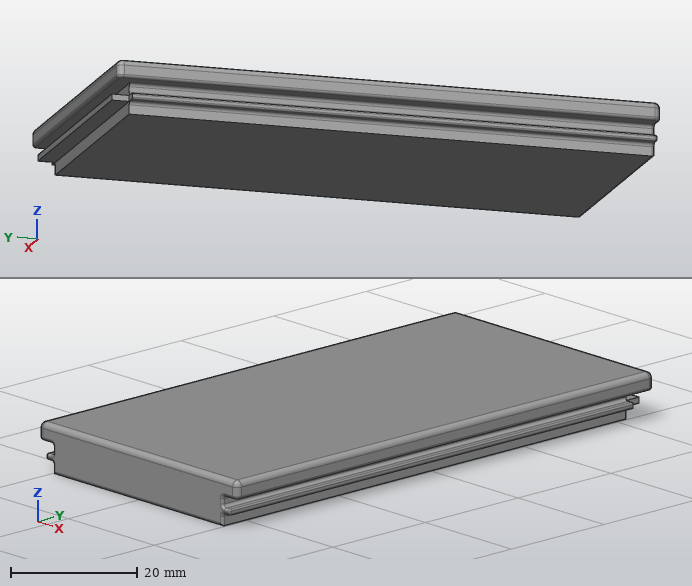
import cadquery as cq

plate_width = 46.2
plate_length = 90.0
plate_thickness = 3.0
plate_round = 1.0

total_height = 8.0
body_width = 39.3
rear_setback = 2.9

tongue_thickness = 1.0
tongue_drop = 4.95
side_tongue_reach = 1.7

front_round = 0.45
root_round = 0.5
tip_round = 0.3

front = -plate_length / 2
body_length = plate_length - rear_setback
body_rear = front + body_length
body_bottom = -total_height
tongue_top = -tongue_drop
tongue_bottom = tongue_top - tongue_thickness
overlap = 0.9
edge_search = 0.045


def block(width, length, height, y_start, z_bottom):
    """Box centred on X, starting at the given front and bottom."""
    box = cq.Workplane("XY").box(width, length, height, centered=(True, False, False))
    return box.translate((0, y_start, z_bottom))


def make_plate():
    plate = block(plate_width, plate_length, plate_thickness, front, -plate_thickness)
    return plate.edges("|Z or >Z").fillet(plate_round)


def make_body():
    """Body with its side tongues before any rounding."""
    body_height = total_height - plate_thickness + overlap
    body = block(body_width, body_length, body_height, front, body_bottom)
    tongue_width = body_width + 2 * side_tongue_reach
    return body.union(block(tongue_width, body_length, tongue_thickness, front, tongue_bottom))


def side_edges(part, x, z):
    """The two mirrored long edges at a given distance from the centre and height."""
    picked = part.edges("|Y").edges(cq.selectors.BoxSelector(
        (-x - edge_search, front, z - edge_search), (-x + edge_search, -front, z + edge_search)))
    return picked.add(part.edges("|Y").edges(cq.selectors.BoxSelector(
        (x - edge_search, front, z - edge_search), (x + edge_search, -front, z + edge_search))))


def round_long_edges(part):
    root = body_width / 2
    tip = root + side_tongue_reach
    for z in (tongue_bottom, tongue_top):
        part = side_edges(part, root, z).fillet(root_round)
        part = side_edges(part, tip, z).fillet(tip_round)
    return side_edges(part, root, -plate_thickness).fillet(root_round)


def add_rear_tongue(part):
    length = rear_setback + overlap
    tongue = block(body_width, length, tongue_thickness, body_rear - overlap, tongue_bottom)
    return part.union(tongue)


part = round_long_edges(make_plate().union(make_body()))
part = part.faces("<Y").edges("not >Z").fillet(front_round)
result = add_rear_tongue(part)